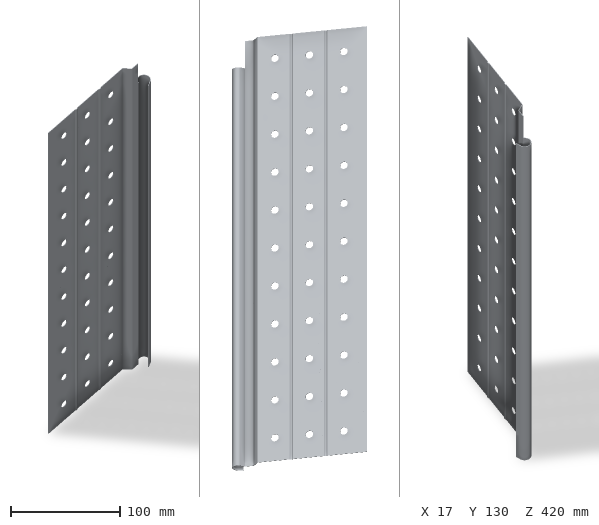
import cadquery as cq
import math

height = 420.0
depth = 130.0
width = 17.0
sheet = 0.6
half_sheet = sheet / 2

lip_x = 7.0
joggle_start_y = 103.7
joggle_end_y = 109.0
lip_end_y = 117.5
bend_radius = 1.5

hook_radius = 6.5
hook_centre = (9.05, depth - hook_radius)
hook_start_angle = 202
hook_top_angle = 90
hook_end_angle = 22
hook_notch = 27.0

groove_width = 3.5
groove_floor = 1.5
groove_depth = 0.65

hole_diameter = 7.0
hole_columns = 3
hole_rows = 11
column_pitch = 32.8
first_column_y = 22.0
first_row_z = 22.5
row_pitch = (height - 2 * first_row_z) / (hole_rows - 1)
groove_offset = 17.2


def hook_point(radius, angle):
    """Point on a circle around the hook axis, angle in degrees."""
    a = math.radians(angle)
    return (hook_centre[0] + radius * math.cos(a), hook_centre[1] + radius * math.sin(a))


def mitred_side(path, distance):
    """Interior corners of a path, offset to its right by a signed distance."""
    corners = []
    for before, here, after in zip(path, path[1:], path[2:]):
        angle_in = math.atan2(here[1] - before[1], here[0] - before[0])
        angle_out = math.atan2(after[1] - here[1], after[0] - here[0])
        middle = (angle_in + angle_out) / 2
        reach = distance / math.cos((angle_out - angle_in) / 2)
        corners.append((here[0] + reach * math.sin(middle), here[1] - reach * math.cos(middle)))
    return corners


def plate_path():
    """Centre line from the free edge to the start of the hook curl."""
    path = [(half_sheet, 0)]
    for column in range(hole_columns - 1):
        y = first_column_y + column * column_pitch + groove_offset
        path += [
            (half_sheet, y - groove_width / 2),
            (half_sheet + groove_depth, y - groove_floor / 2),
            (half_sheet + groove_depth, y + groove_floor / 2),
            (half_sheet, y + groove_width / 2),
        ]
    path += [(half_sheet, joggle_start_y), (lip_x, joggle_end_y), (lip_x, lip_end_y)]
    path.append(hook_point(hook_radius - half_sheet, hook_start_angle))
    return path


def profile():
    """Closed cross-section of the bent sheet in the XY plane."""
    outer = hook_radius
    inner = hook_radius - sheet
    path = plate_path()
    left_side = [(0, 0)] + mitred_side(path, -half_sheet) + [hook_point(outer, hook_start_angle)]
    right_side = mitred_side(path, half_sheet)

    end = math.radians(hook_end_angle)
    outer_end = hook_point(outer, hook_end_angle)
    flare = (width - outer_end[0]) / math.sin(end)
    outer_tip = (width, outer_end[1] - flare * math.cos(end))
    inner_tip = (outer_tip[0] - sheet * math.cos(end), outer_tip[1] - sheet * math.sin(end))

    return (
        cq.Workplane("XY")
        .polyline(left_side)
        .threePointArc(hook_point(outer, hook_top_angle), outer_end)
        .lineTo(*outer_tip)
        .lineTo(*inner_tip)
        .lineTo(*hook_point(inner, hook_end_angle))
        .threePointArc(hook_point(inner, hook_top_angle), hook_point(inner, hook_start_angle))
        .polyline(right_side[::-1] + [(sheet, 0)], includeCurrent=True)
        .close()
    )


def notch():
    """Block that removes the hook at the top end."""
    return cq.Workplane("XY").box(width, depth - lip_end_y, hook_notch, centered=False).translate(
        (0, lip_end_y, height - hook_notch)
    )


def perforations():
    """Grid of round holes through the plate."""
    centres = [
        (first_column_y + column * column_pitch, first_row_z + row * row_pitch)
        for column in range(hole_columns)
        for row in range(hole_rows)
    ]
    return cq.Workplane("YZ").pushPoints(centres).circle(hole_diameter / 2).extrude(width)


def round_lip_bend(body):
    """Round both faces of the bend between the joggle and the lip, about one axis."""
    path = [(half_sheet, joggle_start_y), (lip_x, joggle_end_y), (lip_x, lip_end_y)]
    for side, radius in ((-half_sheet, bend_radius), (half_sheet, bend_radius + sheet)):
        x, y = mitred_side(path, side)[0]
        edge = cq.selectors.NearestToPointSelector((x, y, height / 2))
        body = body.edges("|Z").edges(edge).fillet(radius)
    return body


result = round_lip_bend(profile().extrude(height)).cut(notch()).cut(perforations())